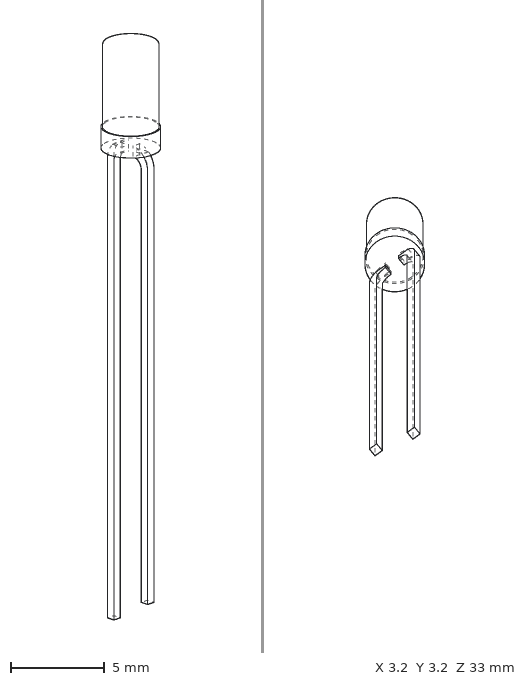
import cadquery as cq
import math

total_height = 33.0

lens_radius = 1.52
flange_radius = 1.6
housing_height = 6.0
flange_height = 1.22
top_fillet = 0.13
housing_bottom = total_height - housing_height

lead_width = 0.5
lead_spacing = 2.55
bend_drop = 0.92
bend_start = housing_bottom - bend_drop
bend_inner_radius = 0.6
bend_outer_radius = 1.22
long_lead_bottom = 0.0
short_lead_bottom = 1.52


def make_lead(side, bottom):
    """Lead on the given side (-1 for -X, +1 for +X), with its bend toward the housing axis."""
    outer_x = (lead_spacing + lead_width) / 2
    inner_x = outer_x - lead_width
    bend_x = inner_x - bend_inner_radius
    outer_centre_x = outer_x - bend_outer_radius
    outer_end_angle = math.acos((bend_x - outer_centre_x) / bend_outer_radius)

    def arc_point(centre_x, radius, angle):
        return (
            side * (centre_x + radius * math.cos(angle)),
            bend_start + radius * math.sin(angle),
        )

    return (
        cq.Workplane("XZ")
        .moveTo(side * outer_x, bottom)
        .lineTo(side * outer_x, bend_start)
        .threePointArc(
            arc_point(outer_centre_x, bend_outer_radius, outer_end_angle / 2),
            arc_point(outer_centre_x, bend_outer_radius, outer_end_angle),
        )
        .lineTo(side * bend_x, bend_start + bend_inner_radius)
        .threePointArc(
            arc_point(bend_x, bend_inner_radius, math.pi / 4),
            (side * inner_x, bend_start),
        )
        .lineTo(side * inner_x, bottom)
        .close()
        .extrude(lead_width / 2, both=True)
    )


def make_housing(leads):
    """Lens and flange in one piece, with shallow recesses where the lead bends enter."""
    lens = (
        cq.Workplane("XY", origin=(0, 0, housing_bottom))
        .circle(lens_radius)
        .extrude(housing_height)
        .faces(">Z")
        .edges()
        .fillet(top_fillet)
    )
    flange = (
        cq.Workplane("XY", origin=(0, 0, housing_bottom))
        .circle(flange_radius)
        .extrude(flange_height)
    )
    housing = lens.union(flange)
    for lead in leads:
        housing = housing.cut(lead)
    return housing


leads = [
    make_lead(side, bottom)
    for side, bottom in ((-1, long_lead_bottom), (1, short_lead_bottom))
]
housing = make_housing(leads)

result = cq.Compound.makeCompound([housing.val(), *[lead.val() for lead in leads]])